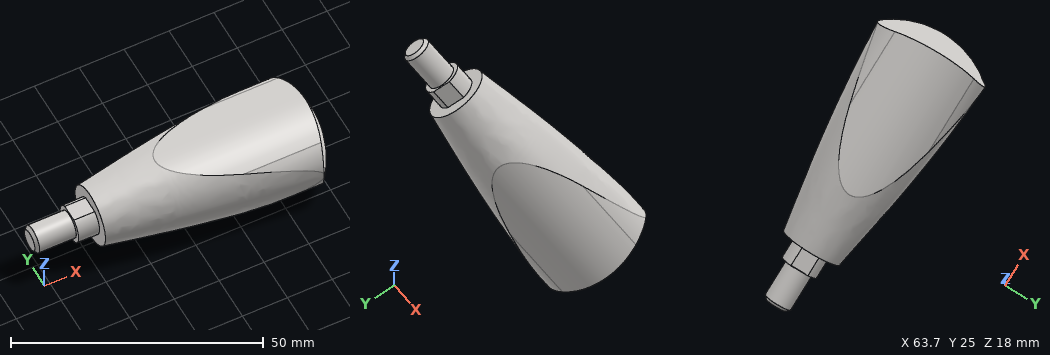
import cadquery as cq
import math

collar_start = 8.85
grip_start = 13.5
flank_middle = 28.55
overall_length = 63.7

pin_diameter = 6.0
pin_chamfer = 0.7
collar_diameter = 8.0
collar_across_flats = 7.0

grip_start_radius = 6.55
flank_middle_radius = 9.1
flank_start_slope = 0.17
flank_end_slope = 0.06
grip_end_radius = 12.5
dome_radius = 19.3

oval_half_height = 9.015
oval_broad_radius = 16.55
oval_side_radius = 7.5


def make_pin():
    pin = cq.Workplane("YZ").circle(pin_diameter / 2).extrude(grip_start)
    return pin.faces("<X").chamfer(pin_chamfer)


def make_collar():
    length = grip_start - collar_start
    plane = cq.Workplane("YZ", origin=(collar_start, 0, 0))
    flats = plane.rect(collar_diameter, collar_across_flats).extrude(length)
    return plane.circle(collar_diameter / 2).extrude(length).intersect(flats)


def make_turned_grip():
    dome_center = overall_length - dome_radius
    dome_edge = dome_center + math.sqrt(dome_radius**2 - grip_end_radius**2)
    dome_middle_radius = grip_end_radius / 2
    dome_middle = dome_center + math.sqrt(dome_radius**2 - dome_middle_radius**2)
    profile = (
        cq.Workplane("XY")
        .moveTo(grip_start, 0)
        .lineTo(grip_start, grip_start_radius)
        .spline(
            [(flank_middle, flank_middle_radius), (dome_edge, grip_end_radius)],
            tangents=[(1, flank_start_slope), (1, flank_end_slope)],
            includeCurrent=True,
        )
        .threePointArc((dome_middle, dome_middle_radius), (overall_length, 0))
        .close()
    )
    return profile.revolve(360, (0, 0, 0), (1, 0, 0))


def make_oval_bar():
    broad_center = oval_half_height - oval_broad_radius
    center_distance = oval_broad_radius - oval_side_radius
    side_center = math.sqrt(center_distance**2 - broad_center**2)
    half_width = side_center + oval_side_radius
    joint_y = oval_broad_radius * side_center / center_distance
    joint_z = broad_center - oval_broad_radius * broad_center / center_distance
    outline = (
        cq.Workplane("YZ", origin=(grip_start, 0, 0))
        .moveTo(-joint_y, joint_z)
        .threePointArc((0, oval_half_height), (joint_y, joint_z))
        .threePointArc((half_width, 0), (joint_y, -joint_z))
        .threePointArc((0, -oval_half_height), (-joint_y, -joint_z))
        .threePointArc((-half_width, 0), (-joint_y, joint_z))
        .close()
    )
    return outline.extrude(overall_length - grip_start)


grip = make_turned_grip().intersect(make_oval_bar())
result = grip.union(make_collar()).union(make_pin())